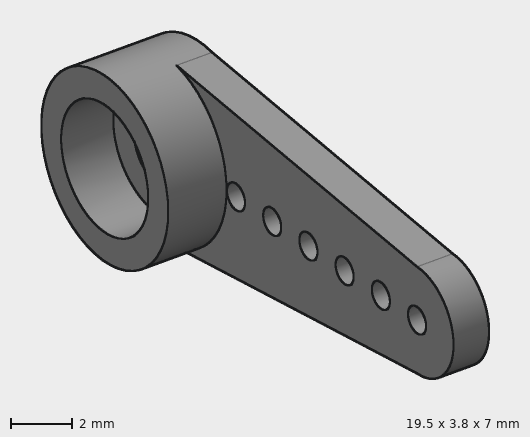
import cadquery as cq
import math

total_length = 19.5
total_depth = 3.8
hub_diameter = 7.0
arm_thickness = 1.45
tip_radius = 2.0
arm_root_x = 0.75
bore_diameter = 2.5
socket_diameter = 4.8
socket_depth = 2.1
link_hole_diameter = 1.0
link_hole_count = 6
first_link_hole_x = 4.02

hub_radius = hub_diameter / 2
tip_center_x = total_length - hub_radius - tip_radius
arm_root_z = math.sqrt(hub_radius**2 - arm_root_x**2)
link_hole_pitch = (tip_center_x - first_link_hole_x) / (link_hole_count - 1)


def cylinder(diameter, depth, x=0.0):
    """Cylinder along +Y, starting at the front face of the hub (Y = 0)."""
    return cq.Workplane("XZ").center(x, 0).circle(diameter / 2).extrude(-depth)


def make_arm():
    """Tapered flat arm with a rounded tip, flush with the back of the hub."""
    return (
        cq.Workplane("XZ", origin=(0, total_depth, 0))
        .moveTo(arm_root_x, -arm_root_z)
        .lineTo(tip_center_x, -tip_radius)
        .threePointArc((tip_center_x + tip_radius, 0), (tip_center_x, tip_radius))
        .lineTo(arm_root_x, arm_root_z)
        .threePointArc((-hub_radius, 0), (arm_root_x, -arm_root_z))
        .close()
        .extrude(arm_thickness)
    )


result = cylinder(hub_diameter, total_depth).union(make_arm())

result = result.cut(cylinder(socket_diameter, socket_depth))
result = result.cut(cylinder(bore_diameter, total_depth))

for index in range(link_hole_count):
    hole_x = first_link_hole_x + index * link_hole_pitch
    result = result.cut(cylinder(link_hole_diameter, total_depth, hole_x))